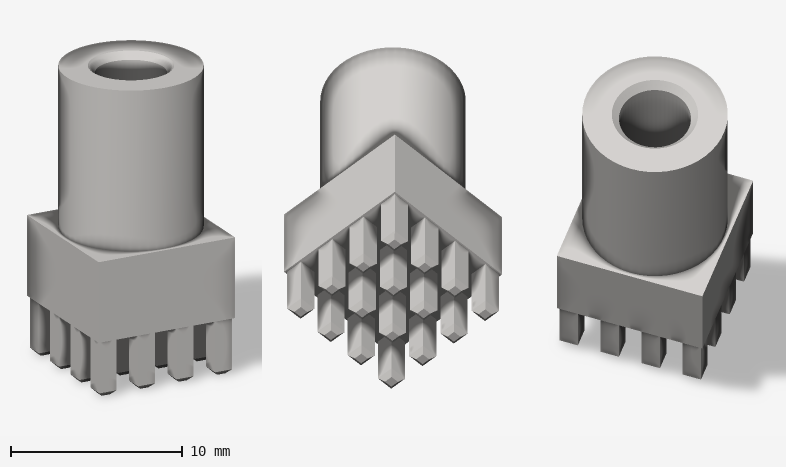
import cadquery as cq
import math

total_height = 18.5
block_width = 9.0
pin_length = 3.5
barrel_diameter = 8.5
barrel_height = 9.99
block_height = total_height - pin_length - barrel_height

bore_diameter = 4.2
mouth_diameter = 5.03
mouth_depth = 0.43
bore_depth = barrel_height
drill_point_angle = 118.0

pins_per_side = 4
pin_pitch = 2.53
pin_width = 1.13
tip_chamfer = 0.3

barrel_top = block_height + barrel_height


def make_body():
    block = cq.Workplane("XY").rect(block_width, block_width).extrude(block_height)
    barrel = (
        cq.Workplane("XY")
        .workplane(offset=block_height)
        .circle(barrel_diameter / 2)
        .extrude(barrel_height)
    )
    return block.union(barrel)


def make_bore():
    """Revolved half-profile of the bore, from the mouth down to the drill point."""
    bore_radius = bore_diameter / 2
    bore_floor = barrel_top - bore_depth
    point_depth = bore_radius / math.tan(math.radians(drill_point_angle / 2))
    return (
        cq.Workplane("XZ")
        .moveTo(0, barrel_top)
        .lineTo(mouth_diameter / 2, barrel_top)
        .lineTo(bore_radius, barrel_top - mouth_depth)
        .lineTo(bore_radius, bore_floor)
        .lineTo(0, bore_floor - point_depth)
        .close()
        .revolve(360, (0, 0, 0), (0, 1, 0))
    )


def make_pins():
    return (
        cq.Workplane("XY")
        .rarray(pin_pitch, pin_pitch, pins_per_side, pins_per_side)
        .rect(pin_width, pin_width)
        .extrude(-pin_length)
        .faces("<Z")
        .chamfer(tip_chamfer)
    )


result = make_body().cut(make_bore()).union(make_pins())